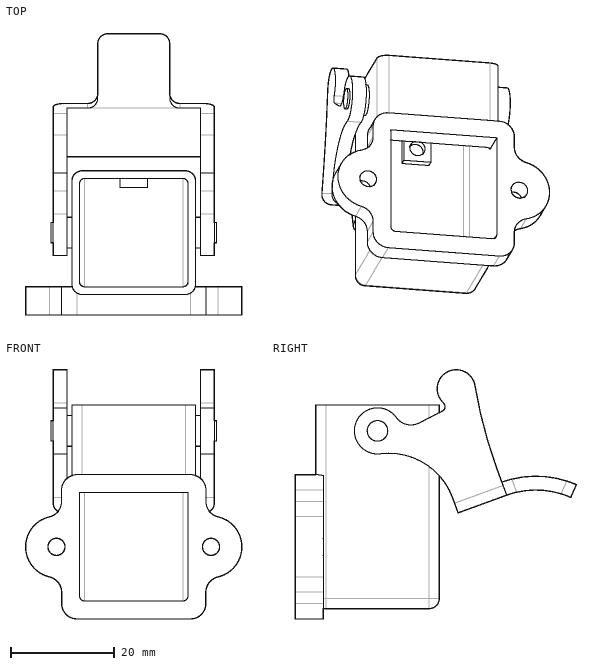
import cadquery as cq
import math


housing_width = 24.0
housing_front = 4.0
housing_top = 27.5
cavity_width = 21.0
outer_round = 2.0
inner_round = 1.0
housing_middle = housing_front + housing_width / 2
cavity_rear = housing_middle + cavity_width / 2

flange_width = 28.0
flange_depth = 5.5
flange_round = 3.0
ear_spacing = 29.95
ear_radius = 6.0
ear_hole_diameter = 3.3
ear_centers = [(-ear_spacing / 2, 0), (ear_spacing / 2, 0)]

boss_width = 5.35
boss_depth = 1.8
boss_top = 21.1
boss_slope_drop = 1.6
boss_hole_diameter = 3.0
boss_hole_height = 16.7
boss_bottom = boss_hole_height - boss_width / 2

pivot_height = 22.5
pin_diameter = 4.0
pin_span = 32.1
collar_diameter = 6.0

lever_tilt = 20.0
lever_width = 31.3
lever_thickness = 2.75
lever_inside = lever_width - 2 * lever_thickness
eye_radius = 4.5
bridge_front = 9.2
bridge_rear = 19.25
bridge_bottom = -20.3
bridge_top = bridge_bottom + lever_thickness
bridge_round = 2.0

horn_y = 17.15
horn_z = 2.45
horn_radius = 3.7
back_radius = 90.1
belly_radius = 13.1
neck_start_z = -2.35
neck_angle = 7.2
valley_round = 3.5
notch_round = 1.0

handle_width = 14.0
handle_outer_radius = 19.3
handle_sweep = 44.0
handle_round = 2.0


def box(width, y_range, z_range):
    """Box centred on X that spans the given Y and Z ranges."""
    y_low, y_high = y_range
    z_low, z_high = z_range
    return (
        cq.Workplane("XY")
        .box(width, y_high - y_low, z_high - z_low)
        .translate((0, (y_low + y_high) / 2, (z_low + z_high) / 2))
    )


def cross_cylinder(diameter, length, y, z):
    """Cylinder along X, centred on the symmetry plane."""
    return cq.Workplane("YZ").center(y, z).circle(diameter / 2).extrude(length / 2, both=True)


def polar(center_y, center_z, radius, angle):
    """Point on a circle in the YZ plane, with the angle in degrees from +Y."""
    turn = math.radians(angle)
    return (center_y + radius * math.cos(turn), center_z + radius * math.sin(turn))


def make_tube():
    half = housing_width / 2
    tube = box(housing_width, (housing_middle - half, housing_middle + half), (-half, housing_top))
    return tube.edges("|Z").fillet(outer_round).faces("<Z").edges().fillet(outer_round)


def make_flange():
    plate = box(flange_width, (0, flange_depth), (-flange_width / 2, flange_width / 2))
    plate = plate.edges("|Y").fillet(flange_round)
    ears = cq.Workplane("XZ").pushPoints(ear_centers).circle(ear_radius).extrude(-flange_depth)
    flange = plate.union(ears)
    side = flange_width / 2
    for x in (-side, side):
        for z in (-ear_radius, ear_radius):
            corner = cq.selectors.NearestToPointSelector((x, flange_depth / 2, z))
            flange = flange.edges(corner).fillet(flange_round)
    return flange


def make_ear_holes():
    return (
        cq.Workplane("XZ").pushPoints(ear_centers).circle(ear_hole_diameter / 2).extrude(-flange_depth)
    )


def make_cavity():
    """Vertical shaft above a passage that opens through the flange."""
    half = cavity_width / 2
    shaft = box(cavity_width, (housing_middle - half, cavity_rear), (half, housing_top))
    shaft = shaft.edges("|Z").fillet(inner_round)
    passage_range = (0, cavity_rear)
    floor_rounded = box(cavity_width, passage_range, (-half, half)).edges("|Y and <Z").fillet(inner_round)
    rear_rounded = box(cavity_width, passage_range, (-half, half)).edges("|Z and >Y").fillet(inner_round)
    return shaft.union(floor_rounded.intersect(rear_rounded))


def make_boss():
    face = cavity_rear - boss_depth
    boss = (
        cq.Workplane("YZ")
        .polyline(
            [
                (cavity_rear, boss_bottom),
                (face, boss_bottom),
                (face, boss_top - boss_slope_drop),
                (cavity_rear, boss_top),
            ]
        )
        .close()
        .extrude(boss_width / 2, both=True)
    )
    hole = (
        cq.Workplane("XZ", origin=(0, face, boss_hole_height))
        .circle(boss_hole_diameter / 2)
        .extrude(-boss_depth)
    )
    return boss.cut(hole)


def make_pivots():
    collars = cross_cylinder(collar_diameter, lever_inside, housing_middle, pivot_height)
    pins = cross_cylinder(pin_diameter, pin_span, housing_middle, pivot_height)
    return collars.union(pins)


def make_housing():
    shell = make_tube().union(make_flange()).union(make_pivots())
    return shell.cut(make_cavity()).cut(make_ear_holes()).union(make_boss())


def make_lever_outline():
    """Side shape of the lever over its full width: pivot eye, horn, curved back and belly."""
    neck_slope = math.tan(math.radians(neck_angle))
    neck_end_z = neck_start_z + horn_y * neck_slope

    back_y = bridge_rear + back_radius
    back_angle = math.degrees(math.acos((back_y - horn_y) / (back_radius + horn_radius)))
    back_z = horn_z - (back_radius + horn_radius) * math.sin(math.radians(back_angle))
    back_start = polar(back_y, back_z, back_radius, 180 - back_angle)
    back_middle = polar(back_y, back_z, back_radius, 180 - back_angle / 2)

    belly_y = bridge_front - belly_radius
    belly_angle = math.degrees(math.acos(-belly_y / (belly_radius + eye_radius)))
    belly_z = -(belly_radius + eye_radius) * math.sin(math.radians(belly_angle))
    belly_middle = polar(belly_y, belly_z, belly_radius, belly_angle / 2)
    belly_end = polar(belly_y, belly_z, belly_radius, belly_angle)

    arm = (
        cq.Workplane("YZ")
        .moveTo(0, neck_start_z)
        .lineTo(horn_y, neck_end_z)
        .lineTo(*back_start)
        .threePointArc(back_middle, (bridge_rear, back_z))
        .lineTo(bridge_rear, bridge_bottom)
        .lineTo(bridge_front, bridge_bottom)
        .lineTo(bridge_front, belly_z)
        .threePointArc(belly_middle, belly_end)
        .close()
        .extrude(lever_width / 2, both=True)
    )
    eye = cross_cylinder(2 * eye_radius, lever_width, 0, 0)
    horn = cross_cylinder(2 * horn_radius, lever_width, horn_y, horn_z)
    outline = arm.union(eye).union(horn)

    valley = cq.selectors.NearestToPointSelector((0, eye_radius, neck_start_z + eye_radius * neck_slope))
    notch = cq.selectors.NearestToPointSelector((0, horn_y - horn_radius / 2, neck_end_z))
    return outline.edges(valley).fillet(valley_round).edges(notch).fillet(notch_round)


def make_handle():
    """Curved grip that leaves the bridge level and bends down."""
    center_z = bridge_top - handle_outer_radius
    inner_radius = handle_outer_radius - lever_thickness
    end_angle = 90 - handle_sweep
    middle_angle = 90 - handle_sweep / 2
    grip = (
        cq.Workplane("YZ")
        .moveTo(bridge_rear, bridge_top)
        .threePointArc(
            polar(bridge_rear, center_z, handle_outer_radius, middle_angle),
            polar(bridge_rear, center_z, handle_outer_radius, end_angle),
        )
        .lineTo(*polar(bridge_rear, center_z, inner_radius, end_angle))
        .threePointArc(
            polar(bridge_rear, center_z, inner_radius, middle_angle),
            (bridge_rear, bridge_bottom),
        )
        .close()
        .extrude(handle_width / 2 + handle_round, both=True)
    )
    for side in (-1, 1):
        trim = box(
            2 * handle_round,
            (bridge_rear, bridge_rear + handle_outer_radius),
            (center_z, 0),
        )
        trim = trim.translate((side * (handle_width / 2 + handle_round), 0, 0))
        root = cq.selectors.NearestToPointSelector((side * handle_width / 2, bridge_rear, center_z / 2))
        grip = grip.cut(trim.edges(root).fillet(handle_round))
    end_y, end_z = polar(bridge_rear, center_z, handle_outer_radius - lever_thickness / 2, end_angle)
    for x in (-handle_width / 2, handle_width / 2):
        corner = cq.selectors.NearestToPointSelector((x, end_y, end_z))
        grip = grip.edges(corner).fillet(handle_round)
    return grip


def make_lever():
    reach = horn_y + 2 * horn_radius
    opening = box(lever_inside, (-reach, reach), (bridge_top, reach))
    lever = make_lever_outline().cut(opening)
    lever = lever.faces("<Z").edges("|Y").fillet(bridge_round)

    lever = lever.union(make_handle())
    lever = lever.cut(cross_cylinder(pin_diameter, lever_width, 0, 0))
    tilted = lever.rotate((0, 0, 0), (1, 0, 0), lever_tilt)
    return tilted.translate((0, housing_middle, pivot_height))


housing = make_housing()
lever = make_lever()

result = cq.Compound.makeCompound([housing.val(), lever.val()])